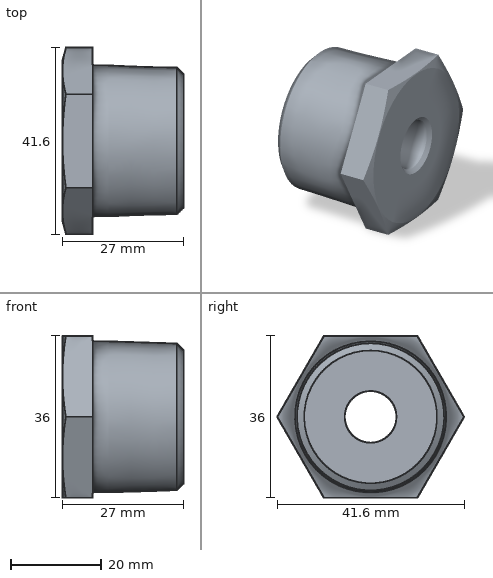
import cadquery as cq
import math

corner_diameter = 41.55
head_length = 6.75
head_face_diameter = 35.6
head_chamfer_angle = 15.0

total_length = 27.0
root_fillet = 0.35
collar_diameter = 33.65
taper_start = 10.23
taper_end = 25.45
taper_end_diameter = 32.67
end_chamfer = total_length - taper_end

bore_diameter = 11.45
countersink_diameter = 13.15
countersink_depth = (countersink_diameter - bore_diameter) / 2


def make_head():
    """Hexagonal prism along X with its corners cut by a shallow cone on the outer face."""
    prism = cq.Workplane("YZ").polygon(6, corner_diameter).extrude(head_length)
    corner_radius = corner_diameter / 2
    face_radius = head_face_diameter / 2
    chamfer_depth = (corner_radius - face_radius) * math.tan(math.radians(head_chamfer_angle))
    envelope = (
        cq.Workplane("XY")
        .polyline([
            (0, 0),
            (0, face_radius),
            (chamfer_depth, corner_radius),
            (head_length, corner_radius),
            (head_length, 0),
        ])
        .close()
        .revolve(360, (0, 0), (1, 0))
    )
    return prism.intersect(envelope)


def make_spigot():
    """Collar with a fillet at its root, slight taper and end chamfer, turned about X."""
    collar_radius = collar_diameter / 2
    taper_end_radius = taper_end_diameter / 2
    fillet_middle = root_fillet * (1 - math.sqrt(0.5))
    return (
        cq.Workplane("XZ")
        .moveTo(head_length, 0)
        .lineTo(head_length, collar_radius + root_fillet)
        .threePointArc(
            (head_length + fillet_middle, collar_radius + fillet_middle),
            (head_length + root_fillet, collar_radius),
        )
        .lineTo(taper_start, collar_radius)
        .lineTo(taper_end, taper_end_radius)
        .lineTo(total_length, taper_end_radius - end_chamfer)
        .lineTo(total_length, 0)
        .close()
        .revolve(360, (0, 0), (1, 0))
    )


def make_bore():
    """Through hole with a countersink at the hexagon face."""
    return (
        cq.Workplane("XY")
        .polyline([
            (0, 0),
            (0, countersink_diameter / 2),
            (countersink_depth, bore_diameter / 2),
            (total_length, bore_diameter / 2),
            (total_length, 0),
        ])
        .close()
        .revolve(360, (0, 0), (1, 0))
    )


result = make_head().union(make_spigot()).cut(make_bore())